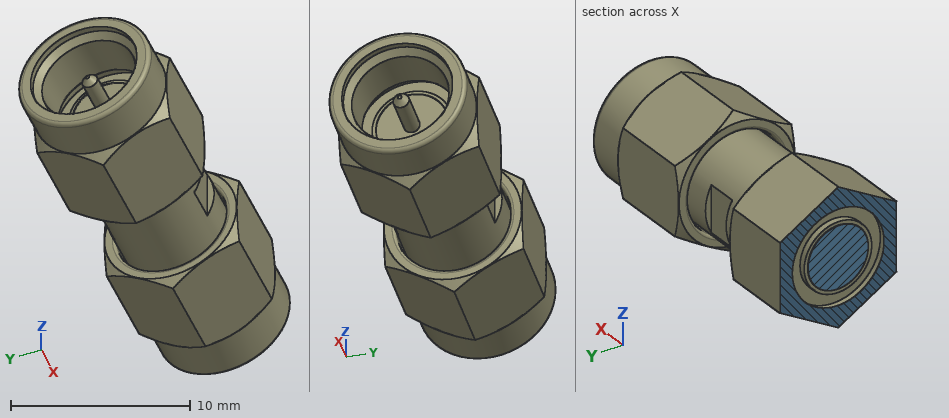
import cadquery as cq
import math

half_length = 11.0

hex_across_flats = 7.95
collar_diameter = 7.9
collar_length = 2.55
collar_fillet = 0.25
nut_length = 8.51
front_chamfer_length = 0.53
rear_chamfer_length = 0.37
rear_hole_fillet = 0.2
mouth_diameter = 6.35
mouth_depth = 0.37
thread_diameter = 5.59
thread_end_depth = 3.3
clearance_diameter = 6.6

body_diameter = 6.35
body_face_x = 6.95
boss_diameter = 4.6
boss_face_x = 7.37
insulator_diameter = 4.14
insulator_face_x = 7.44
pin_diameter = 0.92
pin_tip_diameter = 0.22
pin_tip_x = 10.4
flat_length = 2.02
flat_spacing = 5.55

hex_across_corners = hex_across_flats / math.cos(math.radians(30))
mouth_taper = (mouth_diameter - thread_diameter) / 2
thread_runout = (clearance_diameter - thread_diameter) / 2
pin_taper = (pin_diameter - pin_tip_diameter) / 2


def revolve_about_x(points):
    """Revolve a closed (x, radius) outline around the X axis."""
    return cq.Workplane("XY").polyline(points).close().revolve(360, (0, 0, 0), (1, 0, 0))


def cylinder_along_x(diameter, start_x, end_x):
    return cq.Workplane("YZ", origin=(start_x, 0, 0)).circle(diameter / 2).extrude(end_x - start_x)


def make_hex(start_x, end_x):
    """Hexagon with corners at +Z and -Z, its corners coned off at both ends."""
    prism = (
        cq.Workplane("YZ", origin=(start_x, 0, 0))
        .polygon(6, hex_across_corners)
        .extrude(end_x - start_x)
        .rotate((0, 0, 0), (1, 0, 0), 90)
    )
    end_radius = collar_diameter / 2
    corner_radius = hex_across_corners / 2
    envelope = revolve_about_x([
        (start_x, 0),
        (start_x, end_radius),
        (start_x + front_chamfer_length, corner_radius),
        (end_x - rear_chamfer_length, corner_radius),
        (end_x, end_radius),
        (end_x, 0),
    ])
    return prism.intersect(envelope)


def make_nut_bore():
    """Stepped bore: plain mouth, thread bore, then clearance around the body."""
    mouth_end = -half_length + mouth_depth
    thread_start = mouth_end + mouth_taper
    thread_end = -half_length + thread_end_depth
    rear_x = -half_length + nut_length
    return revolve_about_x([
        (-half_length, 0),
        (-half_length, mouth_diameter / 2),
        (mouth_end, mouth_diameter / 2),
        (thread_start, thread_diameter / 2),
        (thread_end, thread_diameter / 2),
        (thread_end + thread_runout, clearance_diameter / 2),
        (rear_x, clearance_diameter / 2),
        (rear_x, 0),
    ])


def make_nut():
    """Coupling nut at the -X end, open toward -X."""
    hex_start = -half_length + collar_length
    rear_x = -half_length + nut_length
    collar = cylinder_along_x(collar_diameter, -half_length, hex_start).faces("<X").edges().fillet(collar_fillet)
    nut = collar.union(make_hex(hex_start, rear_x)).cut(make_nut_bore())
    rear_hole_edge = cq.selectors.RadiusNthSelector(0)
    return nut.faces(">X").edges("%CIRCLE").edges(rear_hole_edge).fillet(rear_hole_fillet)


def make_body():
    """Stepped barrel with a contact pin at each end and two wrench flats."""
    barrel = cylinder_along_x(body_diameter, -body_face_x, body_face_x)
    boss = cylinder_along_x(boss_diameter, -boss_face_x, boss_face_x)
    insulator = cylinder_along_x(insulator_diameter, -insulator_face_x, insulator_face_x)
    pin = cylinder_along_x(pin_diameter, -pin_tip_x, pin_tip_x).faces("<X or >X").chamfer(pin_taper)
    flat_depth = (body_diameter - flat_spacing) / 2
    body = barrel.union(boss).union(insulator).union(pin)
    for side in (-1, 1):
        flat_center_y = side * (flat_spacing + flat_depth) / 2
        flat_cutter = cq.Workplane("XY").box(flat_length, flat_depth, body_diameter)
        body = body.cut(flat_cutter.translate((0, flat_center_y, 0)))
    return body


body = make_body()
nuts = [make_nut().rotate((0, 0, 0), (0, 0, 1), angle) for angle in (0, 180)]

result = cq.Compound.makeCompound([body.val(), *[nut.val() for nut in nuts]])